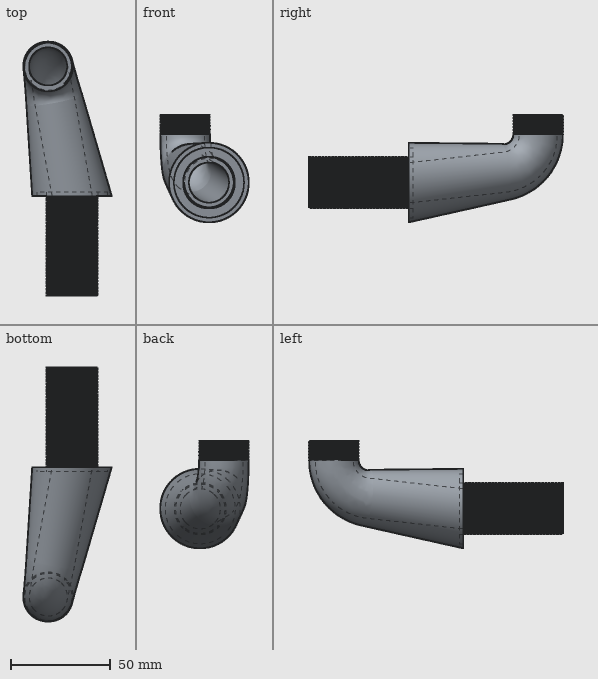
import cadquery as cq
import math


tube_length = 50.0
tube_crest_radius = 13.0
tube_bore_radius = 10.1
tube_thread_turns = 30

flange_radius = 20.0
recess_radius = 17.6
recess_depth = 2.0

stub_x = -12.0
stub_y = 65.0
stub_top_z = 34.0
stub_crest_radius = 12.5
stub_bore_radius = 9.5
stub_thread_length = 9.7
stub_thread_turns = 6.4
stub_base_z = stub_top_z - stub_thread_length

thread_depth = 0.6
thread_embed = 0.1
crest_share = 0.25
core_overrun = 3.8
base_share = 0.75

elbow_radius = 19.1
elbow_end_radius = 14.3
elbow_sections = 7

plan_length = math.hypot(stub_x, stub_y)
plan_x = stub_x / plan_length
plan_y = stub_y / plan_length

arc_centre_run = plan_length - elbow_radius
slope_angle = math.atan2(stub_base_z, arc_centre_run) - math.asin(
    elbow_radius / math.hypot(stub_base_z, arc_centre_run)
)
elbow_sweep = math.pi / 2 - slope_angle


def place(run, height):
    """Point in the vertical plane through the flange centre and the stub axis."""
    return cq.Vector(plan_x * run, plan_y * run, height)


def section_circle(centre, normal, radius):
    """Circle across the centre line, with its seam on the -X side."""
    side = cq.Vector(-plan_y, plan_x, 0)
    side_in_plane = side - normal * side.dot(normal)
    plane = cq.Plane(origin=centre, xDir=side_in_plane, normal=normal)
    return cq.Workplane(plane).circle(radius).val()


def bent_duct(stub_radius, arc_end_radius, flange_end_radius):
    """Solid along the centre line: an elbow below the stub, then a straight taper to the flange."""
    circles = []
    for i in range(elbow_sections):
        share = i / (elbow_sections - 1)
        angle = share * elbow_sweep
        centre = place(
            arc_centre_run + elbow_radius * math.cos(angle),
            stub_base_z - elbow_radius * math.sin(angle),
        )
        direction = place(-math.sin(angle), -math.cos(angle))
        radius = stub_radius + share**2 * (arc_end_radius - stub_radius)
        circles.append(section_circle(centre, direction, radius))
    flange_circle = section_circle(cq.Vector(0, 0, 0), cq.Vector(0, -1, 0), flange_end_radius)

    elbow = cq.Workplane(cq.Solid.makeLoft(circles))
    taper = cq.Solid.makeLoft([circles[-1], flange_circle], True)
    return elbow.union(taper)


def thread_ridge(crest_radius, length, turns):
    """Right-hand helical ridge along +Z that overruns Z = 0 and Z = length."""
    pitch = length / turns
    crest_width = crest_share * pitch
    base_width = base_share * pitch
    flank_slope = (base_width - crest_width) / 2 / thread_depth
    foot_radius = crest_radius - thread_depth - thread_embed
    foot_width = base_width + 2 * flank_slope * thread_embed
    travel = length + foot_width

    corners = [
        (foot_radius, -foot_width),
        (crest_radius, -(foot_width + crest_width) / 2),
        (crest_radius, -(foot_width - crest_width) / 2),
        (foot_radius, 0),
    ]
    helices = [
        cq.Wire.makeHelix(pitch, travel, radius).translate(cq.Vector(0, 0, height))
        for radius, height in corners
    ]
    faces = []
    for i in range(len(helices)):
        faces += cq.Face.makeRuledSurface(helices[i - 1], helices[i]).Faces()
    end_turn = travel / pitch * 360
    section = cq.Wire.makePolygon([cq.Vector(r, 0, z) for r, z in corners], close=True)
    start_cap = cq.Face.makeFromWires(section)
    end_cap = start_cap.rotate(cq.Vector(0, 0, 0), cq.Vector(0, 0, 1), end_turn)
    end_cap = end_cap.translate(cq.Vector(0, 0, travel))
    shell = cq.Shell.makeShell(faces + [start_cap, end_cap])
    return cq.Workplane(cq.Solid.makeSolid(shell))


def threaded_bar(crest_radius, length, turns):
    """Solid bar along +Z from Z = 0, with its thread cut flush at both ends."""
    core = (
        cq.Workplane("XY", origin=(0, 0, -core_overrun))
        .circle(crest_radius - thread_depth)
        .extrude(length + 2 * core_overrun)
    )
    envelope_width = 4 * crest_radius
    envelope = cq.Workplane("XY").rect(envelope_width, envelope_width).extrude(length)
    return core.union(thread_ridge(crest_radius, length, turns)).intersect(envelope)


body = bent_duct(stub_crest_radius, elbow_end_radius, flange_radius)
recess = (
    cq.Workplane("XZ")
    .circle(recess_radius)
    .circle(tube_crest_radius)
    .extrude(-recess_depth)
)
body = body.cut(recess)

tube = threaded_bar(tube_crest_radius, tube_length, tube_thread_turns)
tube = tube.rotate((0, 0, 0), (1, 0, 0), 90)
stub = threaded_bar(stub_crest_radius, stub_thread_length, stub_thread_turns)
stub = stub.translate((stub_x, stub_y, stub_base_z))

bend_bore = bent_duct(stub_bore_radius, tube_bore_radius, tube_bore_radius)
stub_bore = (
    cq.Workplane("XY", origin=(stub_x, stub_y, stub_base_z))
    .circle(stub_bore_radius)
    .extrude(stub_thread_length)
)
tube_bore = cq.Workplane("XZ").circle(tube_bore_radius).extrude(tube_length)

result = body.union(tube).union(stub).cut(bend_bore).cut(stub_bore).cut(tube_bore)